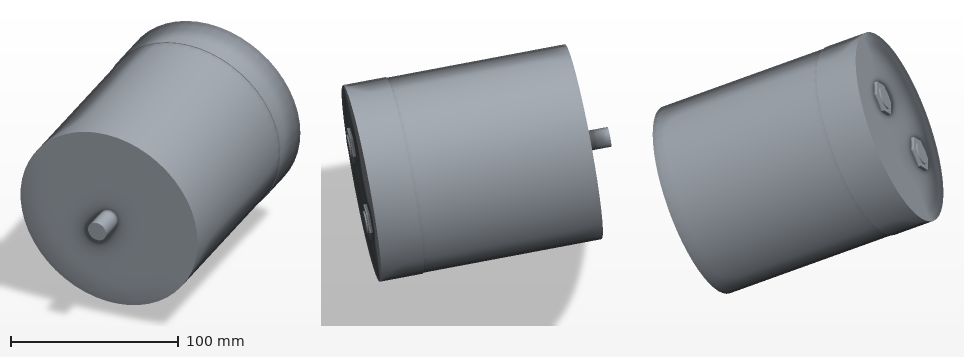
import cadquery as cq

can_diameter = 118.5
can_length = 135.0
cap_diameter = 119.5
cap_length = 26.0

stud_diameter = 12.0
stud_length = 16.0

terminal_spacing = 50.0
hex_sides = 6
hex_across_flats = 18.8
hex_height = 2.0
contact_diameter = 13.8
contact_height = 1.0


def section_plane(y, x=0.0):
    """Plane square to the capacitor axis at height y, local x along X and normal along +Y."""
    return cq.Plane(origin=(x, y, 0), xDir=(1, 0, 0), normal=(0, 1, 0))


def cylinder(diameter, start, length, x=0.0):
    """Round bar parallel to Y, from start to start + length."""
    return cq.Workplane(section_plane(start, x)).circle(diameter / 2).extrude(length)


def make_housing():
    """Can with the slightly larger cap band around its terminal end."""
    can = cylinder(can_diameter, 0, can_length)
    cap = cylinder(cap_diameter, can_length - cap_length, cap_length)
    return can.union(cap)


def make_terminal(x):
    """Hexagonal base with its corners along Z, topped by a round contact pad."""
    base = (
        cq.Workplane(section_plane(can_length, x))
        .polygon(hex_sides, hex_across_flats, circumscribed=True)
        .extrude(hex_height)
    )
    contact = cylinder(contact_diameter, can_length + hex_height, contact_height, x)
    return base.union(contact)


stud = cylinder(stud_diameter, -stud_length, stud_length)
result = make_housing().union(stud)
for side in (-1, 1):
    result = result.union(make_terminal(side * terminal_spacing / 2))